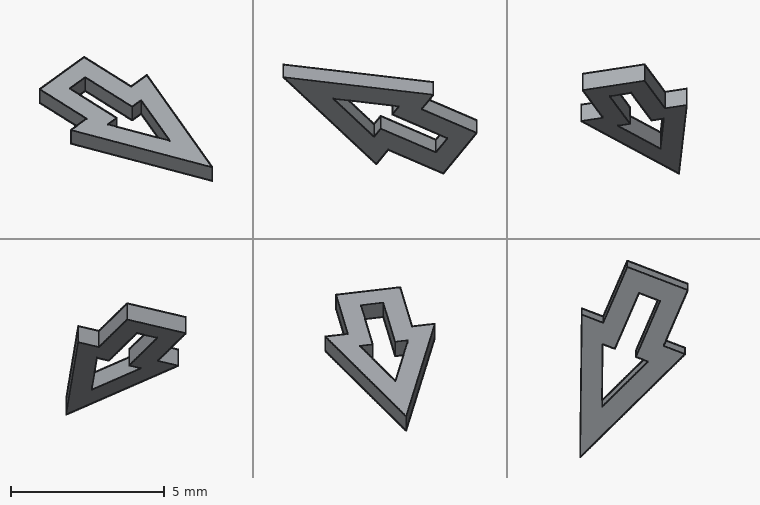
import cadquery as cq
import math

total_length = 6.69
head_width = 3.63
thickness = 0.6
shaft_length = 2.09
shaft_width = 2.13
wall = 0.695

head_half_angle = math.atan2(head_width / 2, total_length - shaft_length)
opening_tip = total_length - wall / math.sin(head_half_angle)
opening_shoulder = shaft_length + wall
opening_head_width = 2 * (opening_tip - opening_shoulder) * math.tan(head_half_angle)
slot_width = shaft_width - 2 * wall


def arrow(tail_x, shoulder_x, tip_x, tail_width, barb_width):
    """Solid arrow pointing along +X, symmetric about the X axis."""
    upper_half = [
        (tail_x, tail_width / 2),
        (shoulder_x, tail_width / 2),
        (shoulder_x, barb_width / 2),
    ]
    lower_half = [(x, -y) for x, y in reversed(upper_half)]
    outline = upper_half + [(tip_x, 0)] + lower_half
    return cq.Workplane("XY").polyline(outline).close().extrude(thickness)


body = arrow(0, shaft_length, total_length, shaft_width, head_width)
opening = arrow(wall, opening_shoulder, opening_tip, slot_width, opening_head_width)

result = body.cut(opening)